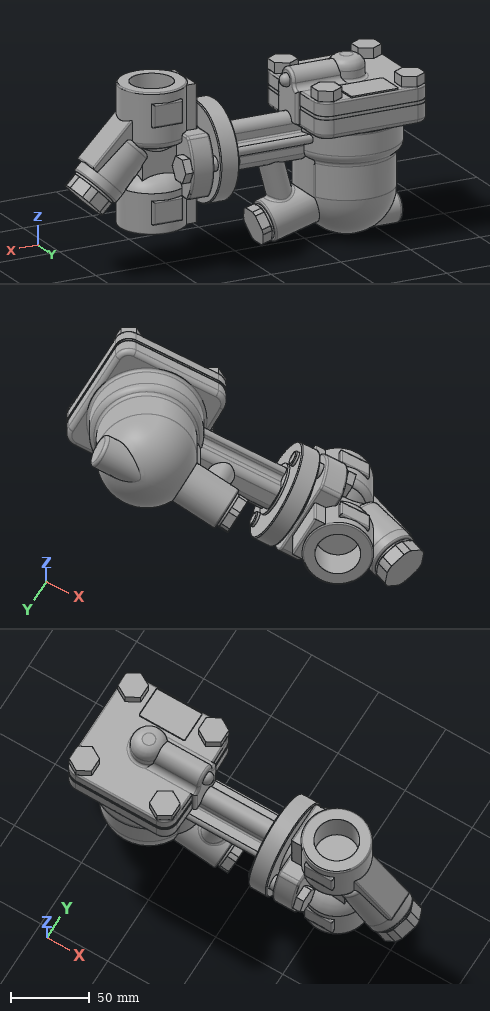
import cadquery as cq
import math


FLANGE_WIDTH = 80.0
FLANGE_HALF = FLANGE_WIDTH / 2
FLANGE_RIGHT = 39.0
FLANGE_BULGE = 40.0
CORNER_RADIUS = 9.5
COVER_TOP = 33.0
COVER_EDGE_ROUND = 1.2
GASKET_TOP = 23.5
GASKET_BOTTOM = 21.0
GASKET_INSET = 0.2
BODY_FLANGE_BOTTOM = 7.7
BODY_FLANGE_ROUND = 3.4
BOLT_SPACING = 60.0
BOLT_HEAD_FLATS = 17.0
BOLT_HEAD_HEIGHT = 7.2
PLATE_LENGTH = 34.0
PLATE_WIDTH = 22.0
PLATE_X = -0.5
PLATE_Y = 27.4
PLATE_THICKNESS = 1.0
PLATE_CORNER = 1.0

DOME_RADIUS = 12.0
DOME_TOP = 48.0
DOME_ROUND = 7.7
DOME_FOOT_ROUND = 2.0
PASSAGE_RADIUS = 8.5
PASSAGE_AXIS_Z = 37.7
PASSAGE_END = 42.7
PASSAGE_END_ROUND = 2.0
KNOB_RADIUS = 4.5
KNOB_TIP = 47.8

VESSEL_RADIUS = 32.2
VESSEL_BOTTOM = -72.0
COLLAR_RADIUS = 36.5
COLLAR_ROUND_START = -8.5
COLLAR_ROUND = 5.8
NECK_BLEND = 3.0
COLLAR_FLARE = 2.0
DRAIN_RADIUS = 22.3 / 2
DRAIN_AXIS_Z = -60.5
DRAIN_END = -35.5
DRAIN_ROUND = 2.2

STRAINER_TILT = 15.0
STRAINER_END = (58.8, -55.5)
STRAINER_RADIUS = 29.0 / 2
STRAINER_LENGTH = 43.2
STRAINER_ROUND = 1.0
STRAINER_PLUG_FLATS = 24.0
STRAINER_PLUG_CORNERS = 26.0
STRAINER_PLUG_TURN = 0.0
STRAINER_PLUG_SEAT = 1.7
STRAINER_PLUG_LENGTH = 8.5
LEG_OFFSET = 14.6
LEG_FOOT = (
    STRAINER_END[0] - LEG_OFFSET * math.cos(math.radians(STRAINER_TILT)),
    STRAINER_END[1] + LEG_OFFSET * math.sin(math.radians(STRAINER_TILT)),
)
LEG_RADIUS = 17.0 / 2
LEG_LENGTH = 45.5
LEG_ROUND = 2.0
DOWNPIPE_X = 22.8
DOWNPIPE_RADIUS = 29.0 / 2
DOWNPIPE_ROUND = 1.7
DOWNPIPE_TOP = -12.0
DOWNPIPE_BOTTOM = -48.0

ARM_START = 19.2
ARM_TUBE_RADIUS = 6.7
ARM_TUBE_BLEND = 1.2
ARM_TUBE_AXIS_Z = 9.8
ARM_WING_REACH = 16.5
ARM_WING_FLAT = 14.2
ARM_WING_TOP = 3.5
ARM_WING_BOTTOM = -2.6
ARM_KEEL_HALF = 9.4
ARM_KEEL_BOTTOM = -15.5
ARM_KEEL_ROUND = 5.0
ARM_KEEL_BLEND = 3.0

PIPE_FLANGE_START = 94.5
PIPE_FLANGE_END = 108.0
PIPE_FLANGE_RADIUS = 34.0
PIPE_FLANGE_CHAMFER = 0.7
HUB_RADIUS = 18.0
HUB_THICKNESS = 1.5

CONNECTOR_FLANGE_START = 112.5
CONNECTOR_FLANGE_END = 128.2
CONNECTOR_FLANGE_HALF_HEIGHT = 21.4
CONNECTOR_FLANGE_CORNER = 3.5
CONNECTOR_FLANGE_ROUND = 1.2
SPIGOT_RADIUS = 17.8
ROD_RADIUS = 5.0
ROD_SPACING = 51.0
ROD_Y = ROD_SPACING / 2
ROD_START = 92.2
ROD_CHAMFER = 0.7
NUT_FLATS = 16.0
NUT_END = 133.7

BODY_X = 140.0
BODY_RADIUS = 22.8
BODY_TOP = 53.0
BODY_BOTTOM = -43.2
BODY_EDGE_ROUND = 1.0
SHOULDER_ROUND = 4.5
UPPER_SHOULDER_Z = 18.5
LOWER_SHOULDER_Z = -15.0
LOWER_SHOULDER_MIDDLE = (17.8, -9.0)
WAIST_HALF_WIDTH = 12.0
WAIST_CORE_RADIUS = 9.5
WAIST_CORE_TOP = 7.5
WAIST_CORE_BOTTOM = -5.3
WAIST_RIGHT = 153.0
PORT_RADIUS = 29.0 / 2
PORT_DEPTH = 24.0
BACK_FACE_X = 114.7
BACK_HALF_WIDTH = 15.0
BACK_ROUND = 1.2
BACK_END_GAP = 1.0
PAD_WIDTH = 21.0
PAD_HEIGHT = 15.8
PADS_ACROSS = 46.3
PAD_CENTERS_Z = (38.0, -27.8)
PAD_ROUND = 1.0

BRANCH_TILT = 45.0
BRANCH_END = (181.0, -11.8)
BRANCH_LENGTH = 37.2
BRANCH_START_RADIUS = 15.4
BRANCH_START_ROUND = 3.0
BRANCH_END_RADIUS = 33.8 / 2
BRANCH_COLLAR_LENGTH = 7.2
BRANCH_END_ROUND = 1.2
RIB_HALF_WIDTH = 11.3
RIB_ROUND = 1.0
RIB_REACH = 17.0
RIB_LENGTH = 45.5
CAP_FLATS = 30.0
CAP_CORNERS = 32.0
CAP_TURN = 90.0
CAP_SEAT = 1.7
CAP_LENGTH = 11.0


def across_corners(flats):
    """Circumscribed diameter of a hexagon with the given width across flats."""
    return flats / math.cos(math.radians(30))


def x_cylinder(radius, start, end, y=0.0, z=0.0):
    """Cylinder along X from start to end."""
    return cq.Workplane("YZ", origin=(start, y, z)).circle(radius).extrude(end - start)


def tilted_plane(end_point, tilt):
    """Plane at an inclined boss end: normal along the boss, sloping down towards +X, local x along Y."""
    slope = math.radians(tilt)
    return cq.Plane(
        origin=(end_point[0], 0, end_point[1]),
        xDir=(0, 1, 0),
        normal=(math.cos(slope), 0, -math.sin(slope)),
    )


def hex_plug(plane, flats, corners, turn, seat, length):
    """Round seat followed by a hexagon, rotated by turn, with its corners turned off."""
    blank = cq.Workplane(plane).circle(corners / 2).extrude(length)
    hexagon = (
        cq.Workplane(plane)
        .transformed(rotate=(0, 0, turn))
        .workplane(offset=seat)
        .polygon(6, across_corners(flats))
        .extrude(length - seat)
    )
    seat_disc = cq.Workplane(plane).circle(flats / 2).extrude(seat)
    return hexagon.intersect(blank).union(seat_disc)


def flange_slab(bottom, top, inset=0.0):
    """Square slab with rounded corners and a slightly curved +X side."""
    half = FLANGE_HALF - inset
    right = FLANGE_RIGHT - inset
    return (
        cq.Workplane("XY", origin=(0, 0, bottom))
        .moveTo(right, -half)
        .threePointArc((FLANGE_BULGE - inset, 0), (right, half))
        .lineTo(-half, half)
        .lineTo(-half, -half)
        .close()
        .extrude(top - bottom)
        .edges("|Z")
        .fillet(CORNER_RADIUS)
    )


def cover_and_body_flange():
    cover = flange_slab(GASKET_TOP, COVER_TOP).faces(">Z").edges().fillet(COVER_EDGE_ROUND)
    gasket = flange_slab(GASKET_BOTTOM, GASKET_TOP, GASKET_INSET)
    body_flange = flange_slab(BODY_FLANGE_BOTTOM, GASKET_BOTTOM)
    body_flange = body_flange.faces("<Z").edges().fillet(BODY_FLANGE_ROUND)
    return cover.union(gasket).union(body_flange)


def cover_bolts():
    return (
        cq.Workplane("XY", origin=(0, 0, COVER_TOP))
        .rect(BOLT_SPACING, BOLT_SPACING, forConstruction=True)
        .vertices()
        .eachpoint(
            lambda place: cq.Workplane("XY")
            .transformed(rotate=(0, 0, 90))
            .polygon(6, across_corners(BOLT_HEAD_FLATS))
            .extrude(BOLT_HEAD_HEIGHT)
            .val()
            .moved(place)
        )
    )


def name_plate():
    return (
        cq.Workplane("XY", origin=(PLATE_X, PLATE_Y, COVER_TOP))
        .rect(PLATE_LENGTH, PLATE_WIDTH)
        .extrude(PLATE_THICKNESS)
        .edges("|Z")
        .fillet(PLATE_CORNER)
    )


def dome():
    """Revolved dome with a rounded top and a flared foot."""
    foot = DOME_RADIUS + DOME_FOOT_ROUND
    foot_top = COVER_TOP + DOME_FOOT_ROUND
    crown = DOME_TOP - DOME_ROUND
    return (
        cq.Workplane("XZ")
        .moveTo(0, COVER_TOP)
        .lineTo(foot, COVER_TOP)
        .radiusArc((DOME_RADIUS, foot_top), DOME_FOOT_ROUND)
        .lineTo(DOME_RADIUS, crown)
        .radiusArc((DOME_RADIUS - DOME_ROUND, DOME_TOP), -DOME_ROUND)
        .lineTo(0, DOME_TOP)
        .close()
        .revolve(360, (0, 0), (0, 1))
    )


def cover_passage():
    """Half-round passage whose sides flare onto the cover, and which runs down the +X side."""
    flare = PASSAGE_AXIS_Z - COVER_TOP
    foot = PASSAGE_RADIUS + flare
    profile = (
        cq.Workplane("YZ")
        .moveTo(-foot, BODY_FLANGE_BOTTOM + BODY_FLANGE_ROUND)
        .lineTo(-foot, COVER_TOP)
        .radiusArc((-PASSAGE_RADIUS, PASSAGE_AXIS_Z), -flare)
        .threePointArc((0, PASSAGE_AXIS_Z + PASSAGE_RADIUS), (PASSAGE_RADIUS, PASSAGE_AXIS_Z))
        .radiusArc((foot, COVER_TOP), -flare)
        .lineTo(foot, BODY_FLANGE_BOTTOM + BODY_FLANGE_ROUND)
        .close()
    )
    knob = cq.Workplane("XY").sphere(KNOB_RADIUS).translate((KNOB_TIP - KNOB_RADIUS, 0, PASSAGE_AXIS_Z))
    passage = profile.extrude(PASSAGE_END).faces(">X").edges("not <Z").fillet(PASSAGE_END_ROUND)
    return passage.union(knob)


def vessel():
    """Revolved vessel: collar under the flange, rounded shoulder, cylinder and round bottom."""
    equator = VESSEL_BOTTOM + VESSEL_RADIUS
    shoulder_end = (VESSEL_RADIUS + NECK_BLEND / 2, COLLAR_ROUND_START - COLLAR_ROUND)
    return (
        cq.Workplane("XZ")
        .moveTo(0, BODY_FLANGE_BOTTOM + BODY_FLANGE_ROUND)
        .lineTo(COLLAR_RADIUS + COLLAR_FLARE, BODY_FLANGE_BOTTOM + BODY_FLANGE_ROUND)
        .lineTo(COLLAR_RADIUS + COLLAR_FLARE, BODY_FLANGE_BOTTOM)
        .radiusArc((COLLAR_RADIUS, BODY_FLANGE_BOTTOM - COLLAR_FLARE), -COLLAR_FLARE)
        .lineTo(COLLAR_RADIUS, COLLAR_ROUND_START)
        .radiusArc(shoulder_end, COLLAR_ROUND)
        .radiusArc((VESSEL_RADIUS, shoulder_end[1] - NECK_BLEND), -NECK_BLEND)
        .lineTo(VESSEL_RADIUS, equator)
        .radiusArc((0, VESSEL_BOTTOM), VESSEL_RADIUS)
        .close()
        .revolve(360, (0, 0), (0, 1))
    )


def drain():
    return x_cylinder(DRAIN_RADIUS, DRAIN_END, 0, z=DRAIN_AXIS_Z).faces("<X").edges().fillet(DRAIN_ROUND)


def strainer():
    """Inclined boss with its hexagon plug and the leg that rises from it."""
    plane = tilted_plane(STRAINER_END, STRAINER_TILT)
    boss = (
        cq.Workplane(plane)
        .circle(STRAINER_RADIUS)
        .extrude(-STRAINER_LENGTH)
        .edges(cq.selectors.NearestToPointSelector((STRAINER_END[0], STRAINER_RADIUS, STRAINER_END[1])))
        .fillet(STRAINER_ROUND)
    )
    plug = hex_plug(
        plane,
        STRAINER_PLUG_FLATS,
        STRAINER_PLUG_CORNERS,
        STRAINER_PLUG_TURN,
        STRAINER_PLUG_SEAT,
        STRAINER_PLUG_LENGTH,
    )
    leg_foot_front = (LEG_FOOT[0], -LEG_RADIUS, LEG_FOOT[1] + STRAINER_RADIUS)
    boss_and_leg = (
        boss.union(strainer_leg())
        .edges(cq.selectors.NearestToPointSelector(leg_foot_front))
        .fillet(LEG_ROUND)
    )
    return boss_and_leg.union(plug)


def strainer_leg():
    """Leg that rises at a right angle from the strainer boss to the arm."""
    slope = math.radians(STRAINER_TILT)
    plane = cq.Plane(
        origin=(LEG_FOOT[0], 0, LEG_FOOT[1]),
        xDir=(0, 1, 0),
        normal=(math.sin(slope), 0, math.cos(slope)),
    )
    return cq.Workplane(plane).circle(LEG_RADIUS).extrude(LEG_LENGTH)


def downpipe():
    """Vertical pipe that bulges out of the +X side of the vessel."""
    length = DOWNPIPE_TOP - DOWNPIPE_BOTTOM
    return cq.Workplane("XY", origin=(DOWNPIPE_X, 0, DOWNPIPE_BOTTOM)).circle(DOWNPIPE_RADIUS).extrude(length)


def vessel_with_downpipe():
    """Vessel and downpipe, rounded along the two straight edges where they meet."""
    meeting_x = (VESSEL_RADIUS**2 + DOWNPIPE_X**2 - DOWNPIPE_RADIUS**2) / (2 * DOWNPIPE_X)
    meeting_y = math.sqrt(VESSEL_RADIUS**2 - meeting_x**2)
    middle_z = (DOWNPIPE_TOP + DOWNPIPE_BOTTOM) / 2
    body = vessel().union(downpipe())
    for side in (-1, 1):
        meeting_edge = cq.selectors.NearestToPointSelector((meeting_x, side * meeting_y, middle_z))
        body = body.edges(meeting_edge).fillet(DOWNPIPE_ROUND)
    return body


def arm():
    """Round-topped tube on a wing with bulged edges, over a keel with rounded bottom edges."""
    wing_middle = (ARM_WING_TOP + ARM_WING_BOTTOM) / 2
    keel_blend_end = ARM_WING_BOTTOM - ARM_KEEL_BLEND
    half_profile = (
        cq.Workplane("YZ", origin=(ARM_START, 0, 0))
        .moveTo(0, ARM_TUBE_AXIS_Z + ARM_TUBE_RADIUS)
        .radiusArc((ARM_TUBE_RADIUS, ARM_TUBE_AXIS_Z), ARM_TUBE_RADIUS)
        .lineTo(ARM_TUBE_RADIUS, ARM_WING_TOP + ARM_TUBE_BLEND)
        .radiusArc((ARM_TUBE_RADIUS + ARM_TUBE_BLEND, ARM_WING_TOP), -ARM_TUBE_BLEND)
        .lineTo(ARM_WING_FLAT, ARM_WING_TOP)
        .threePointArc((ARM_WING_REACH, wing_middle), (ARM_WING_FLAT, ARM_WING_BOTTOM))
        .lineTo(ARM_KEEL_HALF + ARM_KEEL_BLEND, ARM_WING_BOTTOM)
        .radiusArc((ARM_KEEL_HALF, keel_blend_end), -ARM_KEEL_BLEND)
        .lineTo(ARM_KEEL_HALF, ARM_KEEL_BOTTOM + ARM_KEEL_ROUND)
        .radiusArc((ARM_KEEL_HALF - ARM_KEEL_ROUND, ARM_KEEL_BOTTOM), ARM_KEEL_ROUND)
        .lineTo(0, ARM_KEEL_BOTTOM)
        .close()
    )
    half_arm = half_profile.extrude(PIPE_FLANGE_START - ARM_START)
    return half_arm.union(half_arm.mirror("XZ"))


def pipe_flange():
    """Round flange with a thin hub and two bolt holes."""
    flange = x_cylinder(PIPE_FLANGE_RADIUS, PIPE_FLANGE_START, PIPE_FLANGE_END)
    flange = flange.edges().chamfer(PIPE_FLANGE_CHAMFER)
    hub = x_cylinder(HUB_RADIUS, PIPE_FLANGE_START - HUB_THICKNESS, PIPE_FLANGE_START)
    flange = flange.union(hub)
    for side in (-1, 1):
        flange = flange.cut(x_cylinder(ROD_RADIUS, ROD_START, PIPE_FLANGE_END, y=side * ROD_Y))
    return flange


def make_trap():
    trap = cover_and_body_flange()
    for feature in (
        name_plate(),
        cover_passage(),
        dome(),
        vessel_with_downpipe(),
        drain(),
        strainer(),
        arm(),
        pipe_flange(),
        cover_bolts(),
    ):
        trap = trap.union(feature)
    return trap


def connector_flange():
    """Round flange with flat top and bottom, and the spigot that meets the trap flange."""
    flats = (
        cq.Workplane("YZ", origin=(CONNECTOR_FLANGE_START, 0, 0))
        .rect(2 * PIPE_FLANGE_RADIUS, 2 * CONNECTOR_FLANGE_HALF_HEIGHT)
        .extrude(CONNECTOR_FLANGE_END - CONNECTOR_FLANGE_START)
    )
    flange = (
        x_cylinder(PIPE_FLANGE_RADIUS, CONNECTOR_FLANGE_START, CONNECTOR_FLANGE_END)
        .intersect(flats)
        .edges("|X")
        .fillet(CONNECTOR_FLANGE_CORNER)
        .faces("<X or >X")
        .edges()
        .fillet(CONNECTOR_FLANGE_ROUND)
    )
    return flange.union(x_cylinder(SPIGOT_RADIUS, PIPE_FLANGE_END, CONNECTOR_FLANGE_END))


def flange_bolt(side):
    """Rod with a hexagon nut, one corner of the nut pointing outwards along Y."""
    rod = x_cylinder(ROD_RADIUS, ROD_START, CONNECTOR_FLANGE_END, y=side * ROD_Y)
    rod = rod.faces("<X").edges().chamfer(ROD_CHAMFER)
    nut = (
        cq.Workplane("YZ", origin=(CONNECTOR_FLANGE_END, side * ROD_Y, 0))
        .polygon(6, across_corners(NUT_FLATS))
        .extrude(NUT_END - CONNECTOR_FLANGE_END)
    )
    return rod.union(nut)


def upper_half():
    """Revolved upper half of the body: cylinder, rounded shoulder and cone down to the waist."""
    shoulder_end = (BODY_RADIUS - SHOULDER_ROUND, UPPER_SHOULDER_Z - SHOULDER_ROUND)
    return (
        cq.Workplane("XZ", origin=(BODY_X, 0, 0))
        .moveTo(0, BODY_TOP)
        .lineTo(BODY_RADIUS, BODY_TOP)
        .lineTo(BODY_RADIUS, UPPER_SHOULDER_Z)
        .radiusArc(shoulder_end, SHOULDER_ROUND)
        .lineTo(WAIST_CORE_RADIUS, WAIST_CORE_TOP)
        .lineTo(0, WAIST_CORE_TOP)
        .close()
        .revolve(360, (0, 0), (0, 1))
        .faces(">Z")
        .edges()
        .fillet(BODY_EDGE_ROUND)
    )


def lower_half():
    """Revolved lower half of the body: cylinder with a domed shoulder up to the waist."""
    return (
        cq.Workplane("XZ", origin=(BODY_X, 0, 0))
        .moveTo(0, BODY_BOTTOM)
        .lineTo(BODY_RADIUS, BODY_BOTTOM)
        .lineTo(BODY_RADIUS, LOWER_SHOULDER_Z)
        .threePointArc(LOWER_SHOULDER_MIDDLE, (WAIST_CORE_RADIUS, WAIST_CORE_BOTTOM))
        .lineTo(0, WAIST_CORE_BOTTOM)
        .close()
        .revolve(360, (0, 0), (0, 1))
        .faces("<Z")
        .edges()
        .fillet(BODY_EDGE_ROUND)
    )


def waist():
    """Flat-sided block that joins the flange and both halves of the body."""
    length = WAIST_RIGHT - CONNECTOR_FLANGE_END
    height = UPPER_SHOULDER_Z - LOWER_SHOULDER_Z
    return cq.Workplane("XY", origin=(CONNECTOR_FLANGE_END, 0, LOWER_SHOULDER_Z)).box(
        length, 2 * WAIST_HALF_WIDTH, height, centered=(False, True, False)
    )


def back_pad():
    """Flat pad along the -X side of the body, over nearly its whole height."""
    bottom = BODY_BOTTOM + BACK_END_GAP
    height = BODY_TOP - BACK_END_GAP - bottom
    return (
        cq.Workplane("XY", origin=(BACK_FACE_X, 0, bottom))
        .box(CONNECTOR_FLANGE_END - BACK_FACE_X, 2 * BACK_HALF_WIDTH, height, centered=(False, True, False))
        .faces("<X")
        .edges()
        .fillet(BACK_ROUND)
    )


def side_pads(z):
    """Pair of flat rectangular pads on the -Y and +Y sides."""
    return (
        cq.Workplane("XY", origin=(BODY_X, 0, z))
        .box(PAD_WIDTH, PADS_ACROSS, PAD_HEIGHT)
        .faces("<Y or >Y")
        .edges()
        .fillet(PAD_ROUND)
    )


def branch():
    """Widening inclined branch with an end collar, a square rib above it and a hexagon cap."""
    plane = tilted_plane(BRANCH_END, BRANCH_TILT)
    cone_length = BRANCH_LENGTH - BRANCH_COLLAR_LENGTH
    profile = (
        cq.Workplane(plane)
        .transformed(rotate=(90, 0, 0))
        .moveTo(0, -BRANCH_LENGTH)
        .lineTo(BRANCH_START_RADIUS - BRANCH_START_ROUND, -BRANCH_LENGTH)
        .radiusArc((BRANCH_START_RADIUS, -BRANCH_LENGTH + BRANCH_START_ROUND), -BRANCH_START_ROUND)
        .lineTo(BRANCH_END_RADIUS, cone_length - BRANCH_LENGTH)
        .lineTo(BRANCH_END_RADIUS, -BRANCH_END_ROUND)
        .radiusArc((BRANCH_END_RADIUS - BRANCH_END_ROUND, 0), -BRANCH_END_ROUND)
        .lineTo(0, 0)
        .close()
    )
    cone = profile.revolve(360, (0, 0), (0, 1))
    rib = (
        cq.Workplane(plane)
        .workplane(offset=-BRANCH_COLLAR_LENGTH)
        .center(0, RIB_REACH / 2)
        .rect(2 * RIB_HALF_WIDTH, RIB_REACH)
        .extrude(-RIB_LENGTH)
        .faces(cq.selectors.DirectionMinMaxSelector(plane.yDir))
        .edges()
        .fillet(RIB_ROUND)
    )
    cap = hex_plug(plane, CAP_FLATS, CAP_CORNERS, CAP_TURN, CAP_SEAT, CAP_LENGTH)
    return cone.union(rib).union(cap)


def port(end_z, direction):
    """Blind pipe port cut inwards from one end of the body."""
    return cq.Workplane("XY", origin=(BODY_X, 0, end_z)).circle(PORT_RADIUS).extrude(direction * PORT_DEPTH)


def make_connector():
    connector = connector_flange()
    for feature in (upper_half(), lower_half(), waist(), back_pad(), branch()):
        connector = connector.union(feature)
    for z in PAD_CENTERS_Z:
        connector = connector.union(side_pads(z))
    for side in (-1, 1):
        connector = connector.union(flange_bolt(side))
    return connector.cut(port(BODY_TOP, -1)).cut(port(BODY_BOTTOM, 1))


trap = make_trap()
connector = make_connector()
result = cq.Compound.makeCompound([trap.solids().val(), connector.solids().val()])